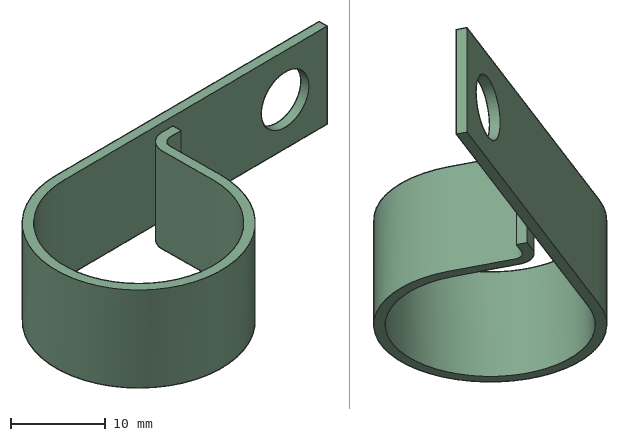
import cadquery as cq

thickness = 1.2192
width = 12.7

loop_inner_radius = 22.225 / 2
loop_outer_radius = loop_inner_radius + thickness

leg_length = 39.68
hole_diameter = 7.14375
hole_to_leg_end = 6.35

lip_gap = thickness
lip_bend_inner_radius = thickness
lip_height = 2.85

lip_bend_outer_radius = lip_bend_inner_radius + thickness
lip_left = -loop_inner_radius + lip_gap
lip_right = lip_left + thickness
lip_top = loop_outer_radius + lip_height
bend_x = lip_left + lip_bend_outer_radius
bend_y = loop_inner_radius + lip_bend_outer_radius


def make_strip():
    """Bent strip: leg, three-quarter loop, flange and lip, centred on Z = 0."""
    diagonal = 0.5**0.5
    outer_mid = loop_outer_radius * diagonal
    inner_mid = loop_inner_radius * diagonal
    bend_outer_mid = lip_bend_outer_radius * diagonal
    bend_inner_mid = lip_bend_inner_radius * diagonal
    outline = (
        cq.Workplane("XY")
        .moveTo(-loop_outer_radius, leg_length)
        .lineTo(-loop_outer_radius, 0)
        .threePointArc((outer_mid, -outer_mid), (0, loop_outer_radius))
        .lineTo(bend_x, loop_outer_radius)
        .threePointArc((bend_x - bend_inner_mid, bend_y - bend_inner_mid), (lip_right, bend_y))
        .lineTo(lip_right, lip_top)
        .lineTo(lip_left, lip_top)
        .lineTo(lip_left, bend_y)
        .threePointArc((bend_x - bend_outer_mid, bend_y - bend_outer_mid), (bend_x, loop_inner_radius))
        .lineTo(0, loop_inner_radius)
        .threePointArc((inner_mid, -inner_mid), (-loop_inner_radius, 0))
        .lineTo(-loop_inner_radius, leg_length)
        .close()
    )
    return outline.extrude(width / 2, both=True)


def make_leg_hole():
    """Cutter along X for the screw hole, only as long as the leg is thick."""
    return (
        cq.Workplane("YZ", origin=(-loop_outer_radius, 0, 0))
        .center(leg_length - hole_to_leg_end, 0)
        .circle(hole_diameter / 2)
        .extrude(thickness)
    )


result = make_strip().cut(make_leg_hole())